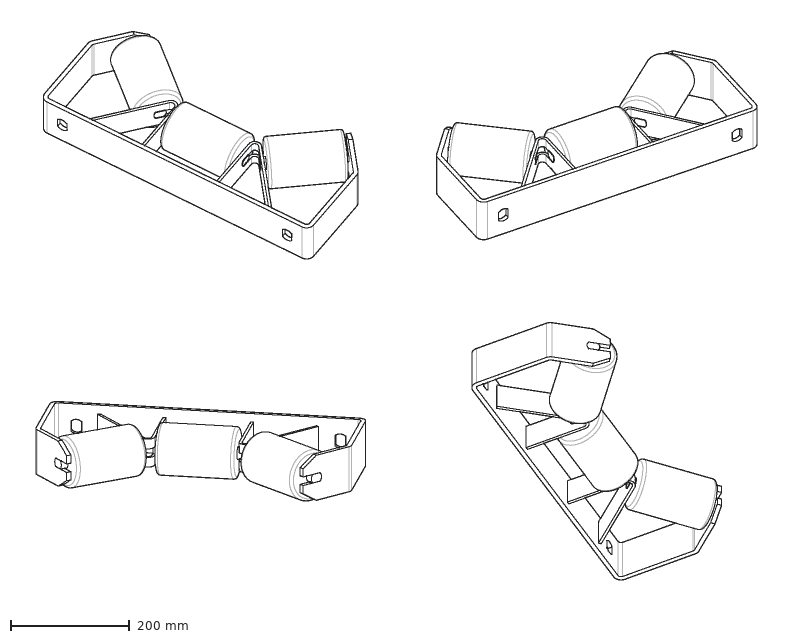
import cadquery as cq
import math


frame_length = 540.0
frame_height = 80.0
frame_thickness = 8.0
bend_radius = 14.0
arm_beyond_axis = 29.0
tip_half_height = 22.0

mounting_x = 225.5
mounting_height = 25.0
mounting_width = 18.5

roller_length = 135.0
roller_diameter = 89.0
roller_fillet = 5.0
shaft_diameter = 22.0
shaft_flats = 15.0
collar_length = 3.0
roller_gap = 5.0
tilt = 40.0
middle_y = 102.0
side_x = 159.5
side_y = 159.5

bracket_thickness = 5.0
bracket_height = 49.5
fold_radius = 12.0
bracket_seat = 4.0

roller_reach = roller_length / 2 + roller_gap
arm_outer = -roller_reach - frame_thickness
fold_x = -roller_reach - fold_radius
slope_angle = 180 - tilt
slot_opening = roller_length / 2
sin_tilt = math.sin(math.radians(tilt))
cos_tilt = math.cos(math.radians(tilt))


def on_tilt(along, across):
    """Point given along and across the axis of the left side roller, from its centre."""
    return (
        -side_x + along * cos_tilt + across * sin_tilt,
        side_y - along * sin_tilt + across * cos_tilt,
    )


def around(center, radius, angle):
    """Point on a circle, with the angle in degrees from +X."""
    return (
        center[0] + radius * math.cos(math.radians(angle)),
        center[1] + radius * math.sin(math.radians(angle)),
    )


def tangent_bend_y(bend_x, radius, along):
    """Y of a bend centre whose outer arc touches the sloping face at this place along the tilted axis."""
    return side_y - (radius + along - (bend_x + side_x) * cos_tilt) / sin_tilt


def place_on_tilt(body):
    """Move a body from the origin to the left side roller."""
    return body.rotate((0, 0, 0), (0, 0, 1), -tilt).translate((-side_x, side_y, 0))


def extrude_strip(profile, height):
    return profile.close().extrude(height).translate((0, 0, -height / 2))


def cylinder_along_x(diameter, length):
    return cq.Workplane("YZ", origin=(-length / 2, 0, 0)).circle(diameter / 2).extrude(length)


def flat_shaft(length):
    """Round shaft along X with flats facing up and down."""
    flats = cq.Workplane("XY").box(length, shaft_diameter, shaft_flats)
    return cylinder_along_x(shaft_diameter, length).intersect(flats)


def shaft_slot(start, end, opening):
    """Cutter for a slot that seats a flattened shaft along X and opens towards +Y."""
    length = end - start
    channel = cq.Workplane("XY").box(length, opening, shaft_flats).translate((0, opening / 2, 0))
    return flat_shaft(length).union(channel).translate(((start + end) / 2, 0, 0))


def make_roller(left_seat, right_seat):
    """Roller along X whose shaft reaches this far into the strips on its left and right."""
    drum = cylinder_along_x(roller_diameter, roller_length).edges("%CIRCLE").fillet(roller_fillet)
    collars = cylinder_along_x(shaft_diameter, roller_length + 2 * collar_length)
    shaft = flat_shaft(2 * roller_reach + left_seat + right_seat)
    return drum.union(collars).union(shaft.translate(((right_seat - left_seat) / 2, 0, 0)))


def make_left_strip():
    """Left half of the frame strip: base, upright and sloping arm."""
    inner_radius = bend_radius - frame_thickness
    corner = (-frame_length / 2 + bend_radius, bend_radius)
    corner_middle = 225
    bend = (corner[0], tangent_bend_y(corner[0], bend_radius, arm_outer))
    bend_middle = 180 - tilt / 2
    profile = (
        cq.Workplane("XY")
        .moveTo(0, 0)
        .lineTo(corner[0], 0)
        .threePointArc(around(corner, bend_radius, corner_middle), around(corner, bend_radius, 180))
        .lineTo(*around(bend, bend_radius, 180))
        .threePointArc(around(bend, bend_radius, bend_middle), around(bend, bend_radius, slope_angle))
        .lineTo(*on_tilt(arm_outer, arm_beyond_axis))
        .lineTo(*on_tilt(-roller_reach, arm_beyond_axis))
        .lineTo(*around(bend, inner_radius, slope_angle))
        .threePointArc(around(bend, inner_radius, bend_middle), around(bend, inner_radius, 180))
        .lineTo(*around(corner, inner_radius, 180))
        .threePointArc(around(corner, inner_radius, corner_middle), (corner[0], frame_thickness))
        .lineTo(0, frame_thickness)
    )
    return extrude_strip(profile, frame_height)


def make_arm_corner(side):
    """Cutter that narrows the left arm from the roller axis to the tip; side is +1 above, -1 below."""
    edge = side * frame_height / 2
    corner = (
        cq.Workplane("YZ", origin=(arm_outer, 0, 0))
        .polyline([(0, edge), (arm_beyond_axis, edge), (arm_beyond_axis, side * tip_half_height)])
        .close()
        .extrude(frame_thickness)
    )
    return place_on_tilt(corner)


def make_mounting_hole():
    """Cutter for the left hole through the base."""
    round_hole = cq.Workplane("XZ").circle(mounting_height / 2).extrude(-frame_thickness)
    sides = cq.Workplane("XY").box(mounting_width, 2 * frame_thickness, mounting_height)
    return round_hole.intersect(sides).translate((-mounting_x, 0, 0))


def make_left_bracket():
    """Upright leg beside the middle roller, a fold, and a leg sloping down beside the side roller."""
    inner_radius = fold_radius - bracket_thickness
    fold = (fold_x, tangent_bend_y(fold_x, fold_radius, roller_reach))
    fold_middle = slope_angle / 2
    sloping_inner = roller_reach + bracket_thickness
    foot = (frame_thickness - side_y + sloping_inner * sin_tilt) / cos_tilt
    profile = (
        cq.Workplane("XY")
        .moveTo(-roller_reach, frame_thickness)
        .lineTo(*around(fold, fold_radius, 0))
        .threePointArc(around(fold, fold_radius, fold_middle), around(fold, fold_radius, slope_angle))
        .lineTo(*on_tilt(roller_reach, foot))
        .lineTo(*on_tilt(sloping_inner, foot))
        .lineTo(*around(fold, inner_radius, slope_angle))
        .threePointArc(around(fold, inner_radius, fold_middle), around(fold, inner_radius, 0))
        .lineTo(-roller_reach - bracket_thickness, frame_thickness)
    )
    return extrude_strip(profile, bracket_height)


def make_frame():
    half = make_left_strip().cut(make_mounting_hole())
    for side in (-1, 1):
        half = half.cut(make_arm_corner(side))
    half = half.union(make_left_bracket())

    arm_slot = place_on_tilt(shaft_slot(arm_outer, -roller_reach, arm_beyond_axis))
    sloping_slot = place_on_tilt(shaft_slot(roller_reach, roller_reach + fold_radius, slot_opening))
    upright_slot = shaft_slot(fold_x, -roller_reach, slot_opening).translate((0, middle_y, 0))
    half = half.cut(arm_slot).cut(sloping_slot).cut(upright_slot)

    middle_roller = make_roller(bracket_seat, bracket_seat).translate((0, middle_y, 0))
    return half.union(half.mirror("YZ")).union(middle_roller)


def make_side_roller(side):
    """Tilted roller between arm and bracket; side is -1 for the left one, +1 for the right one."""
    left_roller = place_on_tilt(make_roller(frame_thickness, bracket_seat))
    return left_roller if side < 0 else left_roller.mirror("YZ")


frame = make_frame()
side_rollers = [make_side_roller(side) for side in (-1, 1)]

result = cq.Compound.makeCompound([frame.val(), *[roller.val() for roller in side_rollers]])